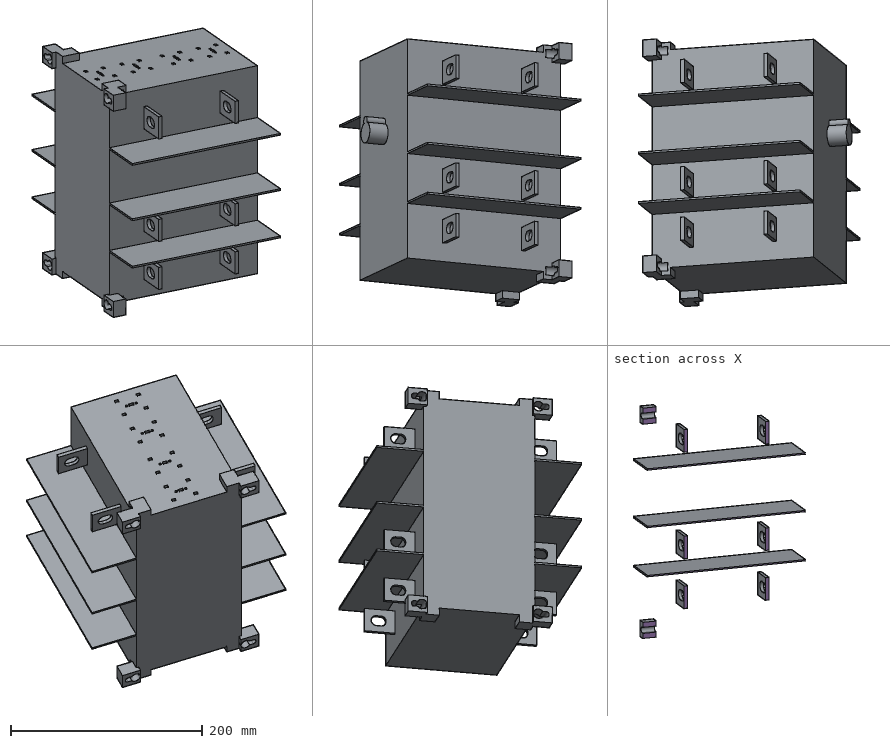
import cadquery as cq

body_width = 119.5
body_depth = 176.5
body_height = 235.0
body_front_y = 0.0
body_back_y = body_front_y + body_depth
body_side_x = body_width / 2
body_top_z = body_height / 2

terminal_mid_inset = 88.0
terminal_mid_y = body_back_y - terminal_mid_inset
terminal_half_spacing = 45.5
terminal_rows_y = [terminal_mid_y - terminal_half_spacing, terminal_mid_y + terminal_half_spacing]
pole_pitch = 54.25
outer_pole_z = 85.0
pole_levels_z = [-outer_pole_z, -outer_pole_z + pole_pitch, outer_pole_z]
terminal_reach_x = 92.5
terminal_thickness = 4.0
terminal_height = 25.0
terminal_slot_length = 16.0
terminal_slot_height = 11.0
left_slot_x = -77.5
right_slot_x = 75.0

barrier_span = 220.0
barrier_thickness = 2.0
middle_barrier_z = -4.5
outer_barrier_z = 58.0
barrier_levels_z = [-outer_barrier_z, middle_barrier_z, outer_barrier_z]

foot_rise = 8.0
foot_top_z = body_top_z + foot_rise
pad_inner_x = 43.0
pad_depth = 20.0
block_inner_x = 57.0
block_outer_x = 77.5
block_height = 18.0
block_depth = 15.0
block_front_y = body_front_y - 5.0
keyhole_z = foot_top_z - block_height / 2
keyhole_head_x = 62.5
keyhole_head_diameter = 10.5
keyhole_neck_x = 71.0
keyhole_neck_width = 6.0
keyhole_depth = 22.0

shaft_z = (pole_levels_z[1] + pole_levels_z[2]) / 2
shaft_diameter = 22.0
shaft_length = 21.0
rib_diameter = 9.0
rib_offset = 12.5

recess_group_half_pitch = 21.5
recess_depth = 5.0
corner_recess_size = (4.0, 3.0)
corner_recess_offset = (12.4, 10.4)
middle_recess_size = (5.0, 3.0)
side_recess_size = (2.0, 2.0)
side_recess_offset_x = 5.5


def box_between(x_range, y_range, z_range):
    """Box filling the given coordinate ranges."""
    size = [limits[1] - limits[0] for limits in (x_range, y_range, z_range)]
    corner = (x_range[0], y_range[0], z_range[0])
    return cq.Workplane("XY").box(*size, centered=False).translate(corner)


def section_at(y):
    """Workplane at the given Y, with local axes along X and Z and its normal along -Y."""
    return cq.Workplane(cq.Plane(origin=(0, y, 0), xDir=(1, 0, 0), normal=(0, -1, 0)))


def make_body():
    return box_between(
        (-body_side_x, body_side_x),
        (body_front_y, body_back_y),
        (-body_top_z, body_top_z),
    )


def make_barrier(level_z):
    return box_between(
        (-barrier_span / 2, barrier_span / 2),
        (body_front_y, body_back_y),
        (level_z - barrier_thickness / 2, level_z + barrier_thickness / 2),
    )


def make_terminal_bar(row_y, level_z):
    """Bar through the body that forms the left and right lugs of one terminal row."""
    front_y = row_y - terminal_thickness / 2
    bar = section_at(front_y).center(0, level_z).rect(2 * terminal_reach_x, terminal_height)
    slots = section_at(front_y).pushPoints([(left_slot_x, level_z), (right_slot_x, level_z)])
    slots = slots.slot2D(terminal_slot_length, terminal_slot_height)
    return bar.extrude(-terminal_thickness).cut(slots.extrude(-terminal_thickness))


def make_foot():
    """Upper foot on the +X side, without its keyhole."""
    pad = box_between(
        (pad_inner_x, body_side_x),
        (body_front_y, body_front_y + pad_depth),
        (foot_top_z - block_height, foot_top_z),
    )
    block = box_between(
        (block_inner_x, block_outer_x),
        (block_front_y, block_front_y + block_depth),
        (foot_top_z - block_height, foot_top_z),
    )
    return pad.union(block)


def make_keyhole():
    """Keyhole cutter for the upper +X foot; its head also reaches into the body side."""
    head = section_at(block_front_y).center(keyhole_head_x, keyhole_z)
    head = head.circle(keyhole_head_diameter / 2).extrude(-keyhole_depth)
    neck_length = keyhole_neck_x - keyhole_head_x
    neck = section_at(block_front_y).center(keyhole_head_x + neck_length / 2, keyhole_z)
    neck = neck.slot2D(neck_length + keyhole_neck_width, keyhole_neck_width).extrude(-keyhole_depth)
    return head.union(neck)


def at_four_corners(shape):
    """The shape with its mirror images across the YZ and XY planes."""
    both_sides = shape.union(shape.mirror("YZ"))
    return both_sides.union(both_sides.mirror("XY"))


def make_shaft():
    shaft = section_at(body_back_y).center(0, shaft_z).circle(shaft_diameter / 2)
    rib = section_at(body_back_y).center(0, shaft_z + rib_offset).circle(rib_diameter / 2)
    return shaft.extrude(-shaft_length).union(rib.extrude(-shaft_length))


def make_recess_group(center_y):
    """Cutter for one recess group: four corners, a middle one and two beside it."""
    top = cq.Workplane("XY", origin=(0, center_y, body_top_z))
    corner_x, corner_y = corner_recess_offset
    corners = top.rect(2 * corner_x, 2 * corner_y, forConstruction=True).vertices()
    corners = corners.rect(*corner_recess_size).extrude(-recess_depth)
    middle = top.rect(*middle_recess_size).extrude(-recess_depth)
    sides = top.pushPoints([(-side_recess_offset_x, 0), (side_recess_offset_x, 0)])
    sides = sides.rect(*side_recess_size).extrude(-recess_depth)
    return corners.union(middle).union(sides)


result = make_body()
for barrier_z in barrier_levels_z:
    result = result.union(make_barrier(barrier_z))
for pole_z in pole_levels_z:
    for terminal_y in terminal_rows_y:
        result = result.union(make_terminal_bar(terminal_y, pole_z))
result = result.union(make_shaft())
result = result.union(at_four_corners(make_foot()))
result = result.cut(at_four_corners(make_keyhole()))
for terminal_y in terminal_rows_y:
    for side in (-1, 1):
        result = result.cut(make_recess_group(terminal_y + side * recess_group_half_pitch))